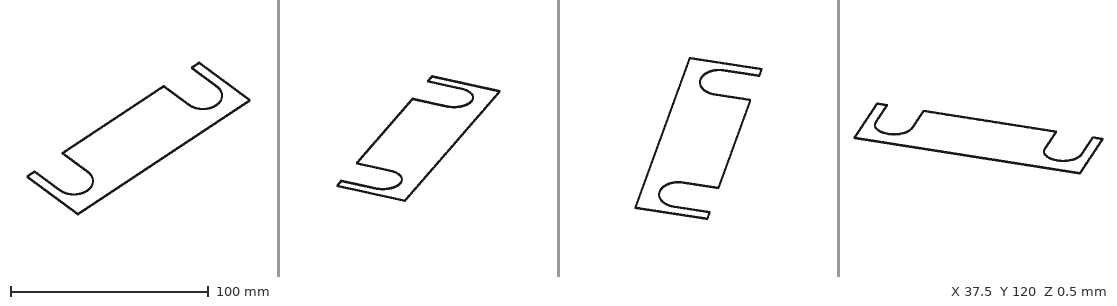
import cadquery as cq

plate_width = 37.5
plate_length = 120.0
plate_thickness = 0.5

slot_width = 19.5
slot_depth = 28.3
slot_spacing = 90.0

left_edge = -plate_width / 2
slot_radius = slot_width / 2
arc_center_x = left_edge + slot_depth - slot_radius


def slot_cutter(center_y):
    """Round-ended slot, open at the left edge of the plate."""
    return (
        cq.Workplane("XY")
        .moveTo(left_edge, center_y - slot_radius)
        .lineTo(arc_center_x, center_y - slot_radius)
        .threePointArc(
            (arc_center_x + slot_radius, center_y),
            (arc_center_x, center_y + slot_radius),
        )
        .lineTo(left_edge, center_y + slot_radius)
        .close()
        .extrude(plate_thickness)
    )


result = cq.Workplane("XY").box(
    plate_width, plate_length, plate_thickness, centered=(True, True, False)
)
for slot_y in (-slot_spacing / 2, slot_spacing / 2):
    result = result.cut(slot_cutter(slot_y))